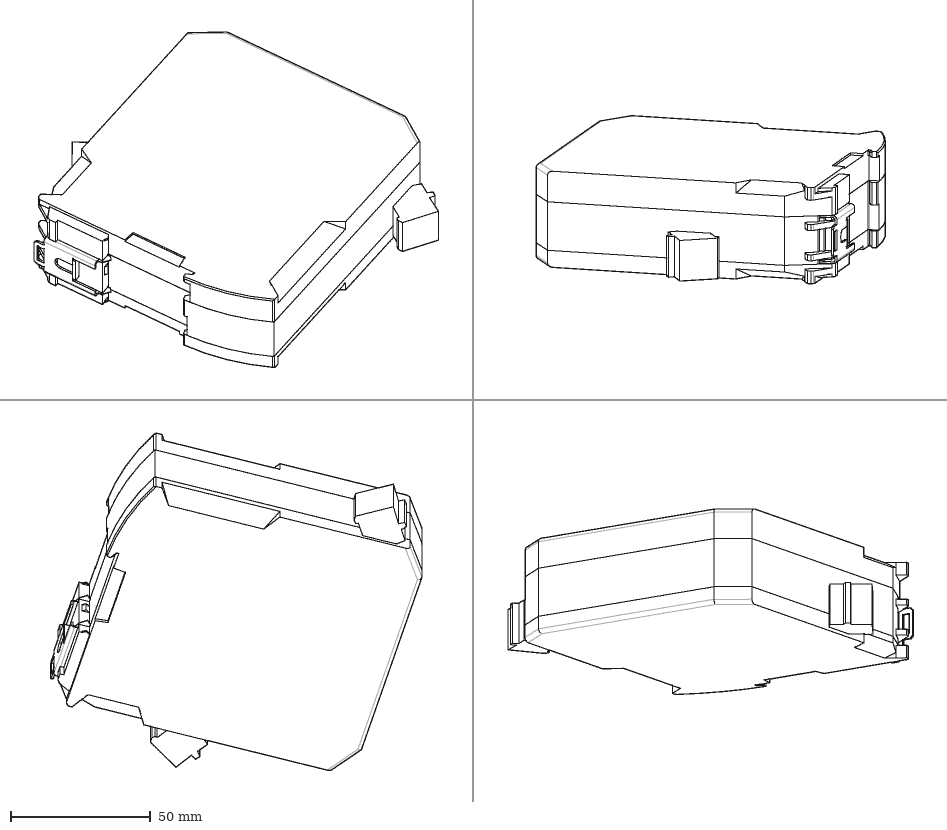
import cadquery as cq

WIDTH = 98.6
DEPTH = 107.1
HEIGHT = 35.2
LOWER_SEAM = 6.2
UPPER_SEAM = 23.9
FRAME_MIDDLE = (LOWER_SEAM + UPPER_SEAM) / 2
CORNER_X = 11.2
CORNER_Y = 7.7
REAR_ROUND = 1.5

SLOPE_TOP_Y = 10.9
FOOT_LEAD = (7.6, -4.5)
SLOPE_RUN = FOOT_LEAD[0] / (SLOPE_TOP_Y - FOOT_LEAD[1])

LIP_HOOK = [(67.0, 0), (66.9, -0.6), (65.7, -1.3), (64.8, -2.2), (65.2, -3.7)]
LIP_TIP = (65.7, -4.1)
LIP_REACH_X = 64.2
LIP_MIDDLE = (84.8, -1.2)
LIP_END_Y = 4.2
LIP_CORNER = 0.5
LIP_BEVEL = 0.5

FOOT_START = 11.5
FOOT_END = 30.7
FOOT_STEP_X = 8.9
FOOT_FRONT = -5.4
FOOT_FACE = -4.0
FOOT_INSET = 1.3
CATCH_REACH = 0.8
CATCH_TIP_Y = -1.5
CATCH_END_Y = -2.8
CATCH_THICKNESS = 0.8
FRAME_CATCH_Z = 15.5
FRAME_CATCH_THICKNESS = 4.1

HOOK_ROOT_Y = 4.4
HOOK_TIP = [(0, 2.5), (0, 1.2)]
HOOK_TIP_CUT = 0.6
HOOK_THICKNESS = 2.2
ARM_SLOPE = (FOOT_LEAD[1] - FOOT_FRONT) / (FOOT_STEP_X - FOOT_LEAD[0])
ARM_FACE_Y = FOOT_LEAD[1] + ARM_SLOPE * FOOT_LEAD[0]
ARM_END = (FOOT_STEP_X, FOOT_FRONT)
COVER_HOOK_Z = 2.5
FRAME_HOOK_OFFSET = 5.5

POCKET_DEPTH = 3.7
LEFT_POCKET = [(0, 29.1), (6.7, 25.3), (6.7, 6.5), (0, 2.5)]
RIGHT_POCKET = [(WIDTH, 50.9), (92.1, 46.7), (92.1, 11.3), (WIDTH, 6.9)]
FRONT_RECESS = [(37.6, 0), (38.1, 4.6), (60.4, 4.6), (61.0, 0)]
TOP_RECESS_DEPTH = 0.8
BOTTOM_RECESS_DEPTH = 1.3

TOP_LIP_CUT_X = 68.2
TOP_LIP_CUT_INSET = 2.0
FRAME_LIP_CUT_X = 66.9
FRAME_LIP_CUT_Z = 15.7

LATCH_LEFT = 7.2
LATCH_RIGHT = 29.0
LATCH_FRONT = -6.4
LATCH_THICKNESS = 0.8
LATCH_BACK = LATCH_FRONT + LATCH_THICKNESS
LATCH_CLEARANCE = 0.1
LATCH_HEIGHT = UPPER_SEAM - LOWER_SEAM - 2 * LATCH_CLEARANCE
FLANGE_THICKNESS = 0.6
LATCH_OUTER_ROUND = 1.3
TAIL_THICKNESS = 0.3
TAIL_ROOT = 1.3
TAIL_START_Y = -5.0
FLANGE_TAIL = [(31.1, -3.7), (32.7, -1.4), (31.5, 0)]
TONGUE_LEFT = 3.0
TONGUE_HEIGHT = 11.3
TONGUE_CORNER = 1.0
WINDOW_LEFT = 4.4
WINDOW_HEIGHT = 7.2
THUMB_SLOT_LEFT = 12.0
THUMB_SLOT_HEIGHT = 4.8
OPENING_LEFT = 19.4

BLOCK_HEIGHT = 15.4
BLOCK_STEP_Y = -1.7
PAD_HEIGHT = 2 * FRAME_HOOK_OFFSET + HOOK_THICKNESS
RIDGE_WIDTH = 1.3
RIDGE_HEIGHT = 9.8

PLUG_OUTLINE = [
    (0, 94.3), (2.3, 96.8), (6.3, 94.3), (8.1, 95.7), (9.6, 94.5), (8.5, 92.6),
    (14.9, 88.7), (7.2, 76.9), (5.4, 76.9), (4.2, 77.8), (4.6, 78.7), (0, 81.7),
]
PLUG_Z = 1.3
PLUG_HEIGHT = 14.9
LEFT_PLUG_SHIFT = -43.1

MARGIN = 6.4
NEAR = 0.1


def slope_x(y):
    """X of the sloped left wall at the given Y."""
    return (SLOPE_TOP_Y - y) * SLOPE_RUN


def prism(points, z, height):
    return cq.Workplane("XY").workplane(offset=z).polyline(points).close().extrude(height)


def box(x0, x1, y0, y1, z0, z1):
    return cq.Workplane("XY").box(x1 - x0, y1 - y0, z1 - z0, centered=False).translate((x0, y0, z0))


def centred_box(x0, x1, y0, y1, height):
    """Box centred on the middle of the frame in Z."""
    return box(x0, x1, y0, y1, FRAME_MIDDLE - height / 2, FRAME_MIDDLE + height / 2)


def layer(z, height, lip_corner):
    """Slice of the housing with its cut rear corners and its curved lip."""
    outline = (
        cq.Workplane("XY").workplane(offset=z)
        .moveTo(WIDTH - lip_corner, LIP_END_Y - lip_corner / 2)
        .threePointArc(LIP_MIDDLE, LIP_TIP)
    )
    for point in reversed(LIP_HOOK):
        outline = outline.lineTo(*point)
    outline = (
        outline.lineTo(slope_x(0), 0)
        .lineTo(0, SLOPE_TOP_Y)
        .lineTo(0, DEPTH - CORNER_Y)
        .lineTo(CORNER_X, DEPTH)
        .lineTo(WIDTH - CORNER_X, DEPTH)
        .lineTo(WIDTH, DEPTH - CORNER_Y)
        .lineTo(WIDTH, LIP_END_Y + lip_corner)
    )
    return outline.close().extrude(height)


def hook(z, height, end):
    """Barbed hook beside the sloped wall, with its arm running to `end`."""
    root = (slope_x(HOOK_ROOT_Y), HOOK_ROOT_Y)
    inside = (FOOT_START, 0)
    arm_start = (HOOK_TIP_CUT, ARM_FACE_Y - ARM_SLOPE * HOOK_TIP_CUT)
    return prism([root, *HOOK_TIP, arm_start, end, inside], z, height)


def catch(z, height):
    """Small wedge on the right end of the foot."""
    return prism([(FOOT_END, 0), (FOOT_END + CATCH_REACH, CATCH_TIP_Y), (FOOT_END, CATCH_END_Y)], z, height)


def foot(z, height):
    return prism(
        [
            (slope_x(0), 0), FOOT_LEAD, (FOOT_STEP_X, FOOT_FRONT), (FOOT_START, FOOT_FRONT),
            (FOOT_START, FOOT_FACE), (FOOT_END, FOOT_FACE), (FOOT_END, 0),
        ],
        z, height,
    )


def side_pocket(outline):
    """Pocket in the outer face (Z = 0) that slopes from full depth at the wall to nothing."""
    wall_x, inner_x = outline[0][0], outline[1][0]
    slope = (
        cq.Workplane("XZ")
        .polyline([(inner_x, 0), (wall_x, 0), (wall_x, POCKET_DEPTH)])
        .close().extrude(-DEPTH)
    )
    return prism(outline, 0, POCKET_DEPTH).intersect(slope)


def cover(thickness, recess_depth):
    """Cover shell with its outer face on Z = 0 and its seam at Z = thickness."""
    shell = layer(0, thickness, LIP_CORNER)
    lip_edge = cq.selectors.BoxSelector(
        (LIP_TIP[0], -MARGIN, -NEAR), (WIDTH - LIP_CORNER, LIP_END_Y, NEAR)
    )
    rear_edges = cq.selectors.BoxSelector(
        (NEAR, DEPTH - CORNER_Y + NEAR, -NEAR), (WIDTH - NEAR, DEPTH + NEAR, NEAR)
    )
    shell = shell.edges(lip_edge).chamfer(LIP_BEVEL)
    shell = shell.edges(rear_edges).fillet(REAR_ROUND)

    shell = shell.union(hook(0, COVER_HOOK_Z, (ARM_FACE_Y / ARM_SLOPE, 0)))
    shell = shell.union(hook(COVER_HOOK_Z, HOOK_THICKNESS, ARM_END))
    shell = shell.union(foot(FOOT_INSET, thickness - FOOT_INSET))
    shell = shell.union(catch(FOOT_INSET, CATCH_THICKNESS))

    for outline in (LEFT_POCKET, RIGHT_POCKET):
        shell = shell.cut(side_pocket(outline))
    return shell.cut(prism(FRONT_RECESS, 0, recess_depth))


def bottom_cover():
    return cover(LOWER_SEAM, BOTTOM_RECESS_DEPTH)


def top_cover():
    thickness = HEIGHT - UPPER_SEAM
    shell = cover(thickness, TOP_RECESS_DEPTH)
    lip_cut = box(LIP_REACH_X, TOP_LIP_CUT_X, -MARGIN, 0, TOP_LIP_CUT_INSET, thickness)
    return shell.cut(lip_cut).mirror("XY").translate((0, 0, HEIGHT))


def middle_frame():
    frame = layer(LOWER_SEAM, UPPER_SEAM - LOWER_SEAM, 0)
    lip_cut = box(LIP_REACH_X, FRAME_LIP_CUT_X, -MARGIN, 0, LOWER_SEAM, FRAME_LIP_CUT_Z)
    frame = frame.cut(lip_cut)

    frame = frame.union(centred_box(LATCH_LEFT, FOOT_END, BLOCK_STEP_Y, 0, BLOCK_HEIGHT))
    frame = frame.union(centred_box(FOOT_STEP_X, FOOT_END, FOOT_FACE, 0, BLOCK_HEIGHT))
    frame = frame.union(centred_box(FOOT_STEP_X, FOOT_START, LATCH_BACK, 0, PAD_HEIGHT))
    frame = frame.union(
        centred_box(OPENING_LEFT, OPENING_LEFT + RIDGE_WIDTH, LATCH_FRONT, 0, RIDGE_HEIGHT)
    )
    frame = frame.union(catch(FRAME_CATCH_Z, FRAME_CATCH_THICKNESS))

    for side in (-1, 1):
        hook_z = FRAME_MIDDLE + side * FRAME_HOOK_OFFSET - HOOK_THICKNESS / 2
        frame = frame.union(hook(hook_z, HOOK_THICKNESS, ARM_END))
    return frame


def latch():
    """Channel-shaped latch: front plate with a tongue, and two barbed flanges."""
    plate = centred_box(LATCH_LEFT, LATCH_RIGHT, LATCH_FRONT, 0, LATCH_HEIGHT)
    plate = plate.edges("|X and <Y").fillet(LATCH_OUTER_ROUND)
    hollow = centred_box(LATCH_LEFT, LATCH_RIGHT, LATCH_BACK, 0, LATCH_HEIGHT - 2 * FLANGE_THICKNESS)
    hollow = hollow.edges("|X and <Y").fillet(LATCH_OUTER_ROUND - FLANGE_THICKNESS)
    body = plate.cut(hollow)

    tail_root_x = LATCH_RIGHT - TAIL_ROOT
    tail = [(tail_root_x, 0), (tail_root_x, TAIL_START_Y), (LATCH_RIGHT, TAIL_START_Y), *FLANGE_TAIL]
    tail_offset = LATCH_HEIGHT / 2 - FLANGE_THICKNESS + TAIL_THICKNESS / 2
    for side in (-1, 1):
        tail_z = FRAME_MIDDLE + side * tail_offset - TAIL_THICKNESS / 2
        body = body.union(prism(tail, tail_z, TAIL_THICKNESS))

    tongue = centred_box(TONGUE_LEFT, LATCH_LEFT, LATCH_FRONT, LATCH_BACK, TONGUE_HEIGHT)
    body = body.union(tongue.edges("|Y and <X").chamfer(TONGUE_CORNER))

    window = centred_box(WINDOW_LEFT, LATCH_LEFT, LATCH_FRONT, LATCH_BACK, WINDOW_HEIGHT)
    opening = centred_box(OPENING_LEFT, LATCH_RIGHT, LATCH_FRONT, LATCH_BACK, TONGUE_HEIGHT)
    slot_radius = THUMB_SLOT_HEIGHT / 2
    slot_centre = THUMB_SLOT_LEFT + slot_radius
    slot = centred_box(slot_centre, OPENING_LEFT, LATCH_FRONT, LATCH_BACK, THUMB_SLOT_HEIGHT)
    slot_end = (
        cq.Workplane("XZ", origin=(slot_centre, LATCH_BACK, FRAME_MIDDLE))
        .circle(slot_radius).extrude(LATCH_THICKNESS)
    )
    return body.cut(window).cut(opening).cut(slot).cut(slot_end)


def plug(wall_x, outward, shift_y):
    """Tilted plug standing against a side wall; `outward` is +1 or -1 along X."""
    points = [(wall_x + outward * reach, y + shift_y) for reach, y in PLUG_OUTLINE]
    return prism(points, PLUG_Z, PLUG_HEIGHT)


plugs = [
    plug(wall_x, outward, shift_y).val()
    for wall_x, outward, shift_y in ((WIDTH, 1, 0), (0, -1, LEFT_PLUG_SHIFT))
]

result = cq.Compound.makeCompound(
    [bottom_cover().val(), middle_frame().val(), top_cover().val(), latch().val(), *plugs]
)